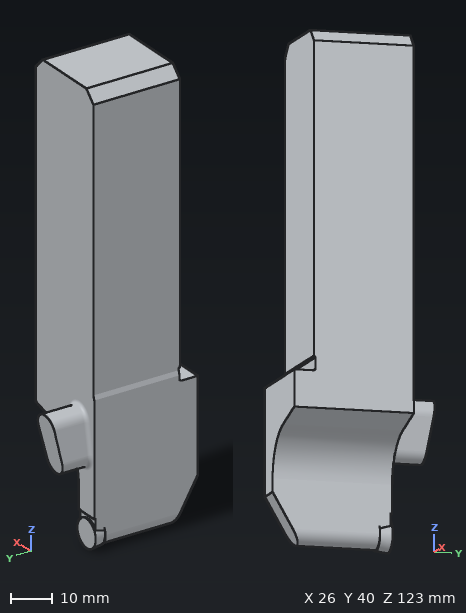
import cadquery as cq
import math

total_height = 123.0

insert_radius = 4.0
insert_thickness = 3.1
insert_clearance_angle = 7.0

shank_size = 25.0
shank_inset = 0.4
shank_top_chamfer = 3.1

blade_width = 6.8
head_depth = 29.9
head_top = 39.4
side_step_bottom = 40.8
side_step_top = 42.1
throat_radius = 12.0
throat_slope_angle = 15.0
throat_slope_height = 30.3
nose_bevel_height = 12.8
nose_bevel_angle = 60.0

neck_relief = 0.4
neck_top = 42.5
neck_fillet = 0.6

back_relief_depth = 0.4
back_relief_height = 9.1

boss_left = 1.17
boss_width = 8.9
boss_bottom = 21.8
boss_height = 15.4
boss_length = 10.1
boss_crown_radius = 3.7
boss_foot_radius = 3.5
boss_end_angle = 8.0
boss_root_fillet = 1.1
edge_margin = 0.1

holder_right = shank_inset + shank_size
tip_radius = blade_width / 2
tip_z = insert_radius
neck_front = -shank_size + neck_relief


def make_side_profile():
    """Body outline in the XZ plane, extruded from the back face to the front of the head."""
    slope = math.radians(throat_slope_angle)
    arc_end_x = blade_width + throat_radius * (1 - math.sin(slope))
    arc_end_z = throat_slope_height - (holder_right - arc_end_x) * math.tan(slope)
    arc_start_z = arc_end_z - throat_radius * math.cos(slope)
    return (
        cq.Workplane("XZ")
        .moveTo(0, tip_z)
        .lineTo(0, side_step_bottom)
        .lineTo(shank_inset, side_step_top)
        .lineTo(shank_inset, total_height - shank_top_chamfer)
        .lineTo(shank_inset + shank_top_chamfer, total_height)
        .lineTo(holder_right - shank_top_chamfer, total_height)
        .lineTo(holder_right, total_height - shank_top_chamfer)
        .lineTo(holder_right, throat_slope_height)
        .lineTo(arc_end_x, arc_end_z)
        .tangentArcPoint((blade_width, arc_start_z), relative=False)
        .lineTo(blade_width, tip_z)
        .threePointArc((tip_radius, tip_z - tip_radius), (0, tip_z))
        .close()
        .extrude(head_depth)
    )


def make_depth_profile():
    """Body outline in the YZ plane, extruded across the full width."""
    bevel_run = nose_bevel_height / math.tan(math.radians(nose_bevel_angle))
    return (
        cq.Workplane("YZ")
        .moveTo(0, 0)
        .lineTo(0, total_height)
        .lineTo(-shank_size, total_height)
        .lineTo(-shank_size, neck_top + neck_relief)
        .lineTo(neck_front, neck_top)
        .lineTo(neck_front, head_top + neck_fillet)
        .tangentArcPoint((neck_front - neck_fillet, head_top), relative=False)
        .lineTo(-head_depth, head_top)
        .lineTo(-head_depth, nose_bevel_height)
        .lineTo(-head_depth + bevel_run, 0)
        .close()
        .extrude(holder_right)
    )


def make_back_relief():
    return cq.Workplane("XY").box(
        blade_width, back_relief_depth, back_relief_height, centered=False
    ).translate((0, -back_relief_depth, 0))


def make_boss():
    """Leaning rounded boss: a lower and an upper arc joined by their two outer tangent lines."""
    top = boss_bottom + boss_height
    foot_x = boss_left + boss_foot_radius
    foot_z = boss_bottom + boss_foot_radius
    crown_x = boss_left + boss_width - boss_crown_radius
    crown_z = top - boss_crown_radius
    lean = math.atan2(crown_x - foot_x, crown_z - foot_z)
    center_distance = math.hypot(crown_x - foot_x, crown_z - foot_z)
    flare = math.asin((boss_crown_radius - boss_foot_radius) / center_distance)
    right_normal = -lean - flare
    left_normal = math.pi - lean + flare
    crown_normal = math.pi / 2 - lean
    foot_normal = crown_normal + math.pi

    def crown_point(angle):
        return crown_x + boss_crown_radius * math.cos(angle), crown_z + boss_crown_radius * math.sin(angle)

    def foot_point(angle):
        return foot_x + boss_foot_radius * math.cos(angle), foot_z + boss_foot_radius * math.sin(angle)

    boss = (
        cq.Workplane("XZ")
        .moveTo(*foot_point(left_normal))
        .lineTo(*crown_point(left_normal))
        .threePointArc(crown_point(crown_normal), crown_point(right_normal))
        .lineTo(*foot_point(right_normal))
        .threePointArc(foot_point(foot_normal), foot_point(left_normal))
        .close()
        .extrude(-boss_length)
    )
    end_setback = boss_height * math.tan(math.radians(boss_end_angle))
    end_cut = (
        cq.Workplane("YZ")
        .moveTo(boss_length, top)
        .lineTo(boss_length, boss_bottom)
        .lineTo(boss_length - end_setback, boss_bottom)
        .close()
        .extrude(holder_right)
    )
    return boss.cut(end_cut)


def make_insert():
    taper = insert_thickness * math.tan(math.radians(insert_clearance_angle))
    cone = cq.Solid.makeCone(
        insert_radius,
        insert_radius - taper,
        insert_thickness,
        pnt=cq.Vector(tip_radius, 0, tip_z),
        dir=cq.Vector(0, -1, 0),
    )
    return cq.Workplane(cone)


def make_holder(insert):
    body = make_side_profile().intersect(make_depth_profile())
    body = body.union(make_boss())
    root_edges = cq.selectors.BoxSelector(
        (boss_left - edge_margin, -edge_margin, boss_bottom - edge_margin),
        (boss_left + boss_width + edge_margin, edge_margin, boss_bottom + boss_height + edge_margin),
        boundingbox=True,
    )
    body = body.edges(root_edges).fillet(boss_root_fillet)
    return body.cut(make_back_relief()).cut(insert)


insert = make_insert()
holder = make_holder(insert)

result = cq.Compound.makeCompound([holder.val(), insert.val()])